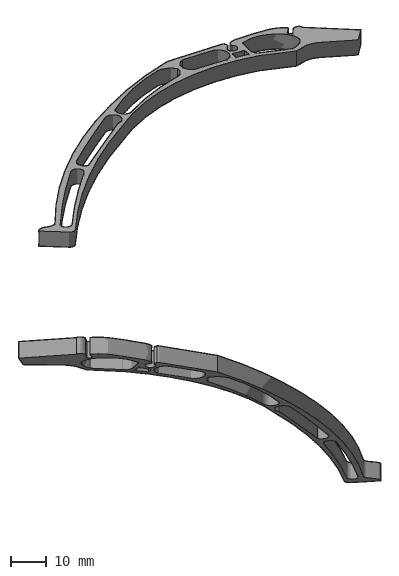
import cadquery as cq


THICKNESS = 5.0
ARM_WIDTH = 43.74
ARM_LENGTH = 141.31

FOOT_TOE = (36.55, 0.0)
FOOT_NECK_CURVE = [(36.15, 0.4), (36.15, 2.2), (37.25, 4.6)]
FOOT_NECK_TOP = (36.6, 6.55)
FOOT_HEEL = (43.1, 5.4)
FOOT_HEEL_EXTREME = (ARM_WIDTH, 6.6)
FOOT_HEEL_TOP = (43.4, 7.7)

HEAD_TIP = (27.9, ARM_LENGTH)
HEAD_NOSE = (31.1, 136.8)
HEAD_NOSE_RADIUS = 0.6
HEAD_UNDERCUT_START = (24.9, 129.3)
HEAD_UNDERCUT_MIDDLE = (23.4, 127.2)
HEAD_UNDERCUT_END = (22.5, 124.7)
HEAD_BACK_CORNER = (22.6, 120.6)
HEAD_SHOULDER_BOTTOM = (13.6, 128.8)
HEAD_SHOULDER_CURVE = [(13.5, 130.0), (14.1, 130.95)]
HEAD_SHOULDER_INNER = (14.9, 131.0)

SLIT_FLOOR_RIGHT = (15.4, 126.7)
SLIT_FLOOR_LEFT = (14.1, 125.8)
FINGER_TIP = (12.4, 128.2)
FINGER_CURVE = [(10.1, 125.9), (7.8, 120.6), (6.1, 114.5), (5.95, 111.2), (6.5, 110.4)]

CATCH_UPPER_END = (7.3, 110.4)
CATCH_FAR_SIDE = (9.7, 108.6)
CATCH_LOWER_END = (7.1, 108.6)
CATCH_LOWER_LIP_TOP = (6.5, 109.6)
CATCH_LOWER_LIP_SIDE = (5.15, 109.6)
CATCH_LOWER_CORNER = (4.8, 109.0)

LEFT_EDGE_BEND = (0.0, 91.6)
LEFT_EDGE_UPPER_MIDDLE = (1.4, 77.4)
LEFT_EDGE_JOINT = (4.6, 63.4)
LEFT_EDGE_LOWER_MIDDLE = (18.85, 29.9)
RIGHT_EDGE_CURVE_END = (16.7, 111.6)
RIGHT_EDGE_UPPER_MIDDLE = (9.8, 87.0)
RIGHT_EDGE_JOINT = (14.7, 57.6)
RIGHT_EDGE_LOWER_MIDDLE = (26.5, 31.3)

LONG_WINDOWS = [
    ((5.2, 104.4), [((3.8, 99.6), (2.6, 95.2)), ((5.8, 92.2), (9.0, 95.2)),
                    ((10.3, 99.6), (11.6, 103.7)), ((8.5, 106.9), (5.2, 104.4))]),
    ((1.5, 86.1), [((3.2, 74.0), (7.2, 62.6)), ((9.6, 62.0), (11.1, 65.5)),
                   ((8.8, 75.0), (7.7, 87.6)), ((6.9, 89.6), (4.8, 90.7)),
                   ((2.5, 88.8), (1.5, 86.1))]),
    ((8.2, 57.3), [((13.0, 46.1), (18.1, 35.4)), ((20.3, 33.9), (22.3, 35.6)),
                   ((17.2, 47.4), (12.8, 57.9)), ((9.5, 60.7), (8.2, 57.3))]),
    ((21.1, 29.6), [((29.5, 17.6), (38.4, 6.8)), ((40.3, 6.6), (40.7, 9.2)),
                    ((32.2, 19.9), (24.3, 31.6)), ((21.7, 32.2), (21.1, 29.6))]),
]

HEAD_WINDOW_LOWER_LEFT = (8.6, 113.4)
HEAD_WINDOW_LEFT_TOP = (8.6, 116.3)
HEAD_WINDOW_CREST_CURVE = [(9.3, 119.1), (11.4, 122.5), (16.6, 126.0), (19.2, 125.6), (20.3, 124.2)]
HEAD_WINDOW_RIGHT_TOP = (20.9, 120.8)
HEAD_WINDOW_RIGHT_BOTTOM = (15.9, 113.2)
HEAD_WINDOW_CORNER_MIDDLE = (14.7, 111.9)
HEAD_WINDOW_BOTTOM = (13.0, 111.8)

SMALL_WINDOW = [(11.7, 110.8), (14.1, 110.2), (12.6, 106.4), (10.5, 107.2)]


def arm_outline():
    """Outer outline of the arm, clockwise from the toe of the foot."""
    return (
        cq.Workplane("XY")
        .moveTo(*FOOT_TOE)
        .spline([*FOOT_NECK_CURVE, FOOT_NECK_TOP], includeCurrent=True)
        .threePointArc(LEFT_EDGE_LOWER_MIDDLE, LEFT_EDGE_JOINT)
        .threePointArc(LEFT_EDGE_UPPER_MIDDLE, LEFT_EDGE_BEND)
        .lineTo(*CATCH_LOWER_CORNER)
        .lineTo(*CATCH_LOWER_LIP_SIDE)
        .lineTo(*CATCH_LOWER_LIP_TOP)
        .lineTo(*CATCH_LOWER_END)
        .threePointArc(CATCH_FAR_SIDE, CATCH_UPPER_END)
        .spline([*reversed(FINGER_CURVE), FINGER_TIP], includeCurrent=True)
        .lineTo(*SLIT_FLOOR_LEFT)
        .lineTo(*SLIT_FLOOR_RIGHT)
        .lineTo(*HEAD_SHOULDER_BOTTOM)
        .spline([*HEAD_SHOULDER_CURVE, HEAD_SHOULDER_INNER], includeCurrent=True)
        .lineTo(*HEAD_TIP)
        .lineTo(*HEAD_NOSE)
        .lineTo(*HEAD_UNDERCUT_START)
        .threePointArc(HEAD_UNDERCUT_MIDDLE, HEAD_UNDERCUT_END)
        .lineTo(*HEAD_BACK_CORNER)
        .lineTo(*RIGHT_EDGE_CURVE_END)
        .threePointArc(RIGHT_EDGE_UPPER_MIDDLE, RIGHT_EDGE_JOINT)
        .threePointArc(RIGHT_EDGE_LOWER_MIDDLE, FOOT_HEEL_TOP)
        .threePointArc(FOOT_HEEL_EXTREME, FOOT_HEEL)
        .close()
    )


def arm_blank():
    """Solid arm without its windows, with the nose of the head rounded."""
    body = arm_outline().extrude(THICKNESS)
    nose_edge_middle = (*HEAD_NOSE, THICKNESS / 2)
    nose_edge = cq.selectors.NearestToPointSelector(nose_edge_middle)
    return body.edges(nose_edge).fillet(HEAD_NOSE_RADIUS)


def long_window(start, arcs):
    """Through cutter bounded only by arcs."""
    outline = cq.Workplane("XY").moveTo(*start)
    for middle, end in arcs:
        outline = outline.threePointArc(middle, end)
    return outline.close().extrude(THICKNESS)


def head_window():
    """Through cutter for the large window below the head."""
    return (
        cq.Workplane("XY")
        .moveTo(*HEAD_WINDOW_LOWER_LEFT)
        .lineTo(*HEAD_WINDOW_LEFT_TOP)
        .spline([*HEAD_WINDOW_CREST_CURVE, HEAD_WINDOW_RIGHT_TOP], includeCurrent=True)
        .lineTo(*HEAD_WINDOW_RIGHT_BOTTOM)
        .threePointArc(HEAD_WINDOW_CORNER_MIDDLE, HEAD_WINDOW_BOTTOM)
        .close()
        .extrude(THICKNESS)
    )


def small_window():
    """Through cutter for the four-sided window beside the catch."""
    return cq.Workplane("XY").polyline(SMALL_WINDOW).close().extrude(THICKNESS)


result = arm_blank().cut(head_window()).cut(small_window())
for window_start, window_arcs in LONG_WINDOWS:
    result = result.cut(long_window(window_start, window_arcs))